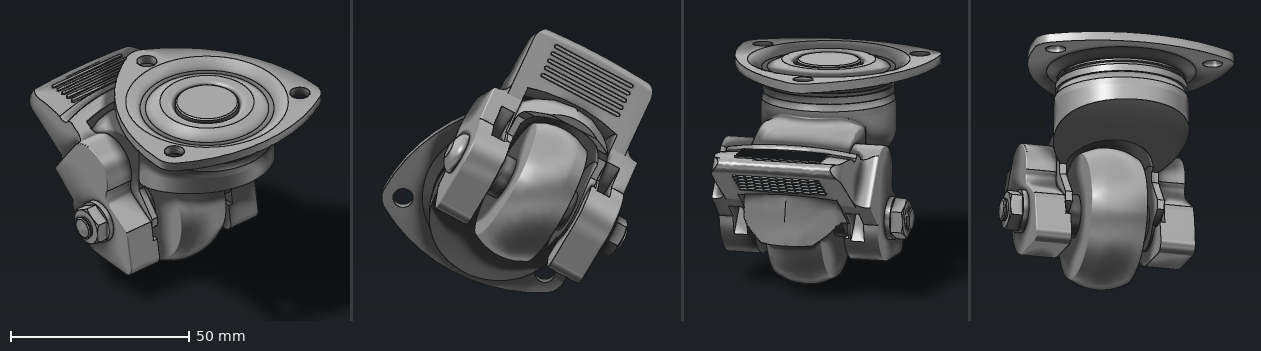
import cadquery as cq
import math


AXLE_X = -19.03
AXLE_Z = -40.0
WHEEL_R = 20.0
WHEEL_SIDE_R = 17.7
WHEEL_HALF_W = 8.1
TYRE_EDGE_ROUND = 0.3
HUB_R = 6.1
HUB_HALF_W = 12.1
HUB_ROUND = 1.0

PLATE_T = 2.64
HOLE_CIRCLE_R = 26.4
HOLE_R = 2.8
CORNER_R = 6.0
SIDE_MID_R = 25.6
SIDE_INSET_R = SIDE_MID_R - CORNER_R
SIDE_CENTRE_R = (HOLE_CIRCLE_R**2 - SIDE_INSET_R**2) / (2 * SIDE_INSET_R - HOLE_CIRCLE_R)
SIDE_R = SIDE_MID_R + SIDE_CENTRE_R
DISH_TOP_R = 22.8
DISH_BOTTOM_R = 18.8
DISH_DEPTH = 2.1
HUMP_FOOT_R = 17.3
HUMP_OUTER_R = 13.2
HUMP_INNER_R = 11.8
RIVET_R = 8.9
RIVET_EDGE = 0.4
DISH_UNDER_R = 21.0
DISH_UNDER_FOOT_R = 17.3
DISH_UNDER_Z = -4.6

HEAD_R = 19.05
HEAD_PROFILE = [
    (0, DISH_UNDER_Z),
    (DISH_UNDER_FOOT_R, DISH_UNDER_Z),
    (DISH_UNDER_FOOT_R, -5.0),
    (18.1, -5.0),
    (18.1, -5.6),
    (17.8, -5.9),
    (17.8, -6.8),
    (18.5, -6.8),
    (18.5, -8.85),
    (17.9, -8.85),
    (18.85, -10.9),
    (HEAD_R, -12.9),
    (HEAD_R, AXLE_Z),
    (0, AXLE_Z),
]
HEAD_BACK_Z = -17.4
HEAD_FRONT_Z = -27.0
FENDER_TO_HEAD_ROUND = 0.8
FORK_HALF_W = 14.4
FORK_WALL = 2.0
FENDER_R = 26.8
FENDER_ROOT_R = 6.0
FENDER_SECTIONS = [
    (75, 23.6, 25.2, 12.9),
    (110, 22.3, 24.9, 12.6),
    (145, 19.0, 23.7, 11.6),
    (180, 15.8, 22.5, 10.5),
    (205, 15.8, 22.5, 10.5),
]
CAVITY_R = 24.6
CAVITY_SIDE_R = 16.0
LEG_EDGE_X = -12.6
LEG_EYE_R = 8.0
LEG_HEEL = (-31.0, -39.5)

LEVER_HALF_W = 23.2
LIP_HALF_W = 13.0
LIP_TOP_Z = -44.0
PEDAL_HALF_W = 18.9
CLEARANCE_R = 27.6
CLEARANCE_SIDE_R = 25.6
CLEARANCE_SHIFT = (0.9, 0, 2.1)
SHOULDER_ROUND = 3.4
SHOULDER_OVERLAP = 1.0
LOWER_ARC_R = 12.2
SLOT_INNER_Y = 15.0
SLOT_OUTER_Y = 19.0
SLOT_TOP_Z = -35.5
SLOT_BOTTOM_Z = -44.9
SLOT_BOTTOM_X = -30.4
SLOT_TOP_X = -23.0
LEG_EDGE_ROUND = 0.4
SHOULDER_TOP = (-29.8, -19.9)
SHOULDER_BOTTOM = (-39.2, -32.8)
UNDERSIDE_SLOPE = 0.69
UNDERSIDE = cq.Plane(
    origin=(-53.4, 0, -23.05),
    xDir=(1, 0, -UNDERSIDE_SLOPE),
    normal=(-UNDERSIDE_SLOPE, 0, -1),
)
NOSE_TIP = -6.0
RIB_COUNT = 5
RIB_W = 1.0
RIB_TOP_Z = -16.9
RIB_SINK = 1.5
TOP_RIBS_X = -52.7
TOP_RIB_PITCH = 2.14
UNDER_RIBS_START = -1.4
UNDER_RIB_PITCH = 2.3
UNDER_RIB_H = 0.4
RIB_LENGTH = 25.2

BOLT_R = 3.0
BOLT_TIP_R = 3.25
BOLT_TIP_Y = -30.28
FLANGE_R = 6.05
BOLT_HEAD_RIM = 0.4
BOLT_HEAD_TOP_R = 2.7
BOLT_HEAD_TOP_Y = 26.4
NUT_FLANGE_T = 1.6
NUT_FLATS = 10.2
NUT_H = 3.55
NUT_BEVEL_H = 0.4
NUT_BEVEL_W = 0.8


def turn_about_axle(outline):
    """Revolve an outline, drawn as (radius, Y) about the axle, into a solid of revolution."""
    profile = outline.close()
    return profile.revolve(360, (0, 0, 0), (0, 1, 0)).translate((AXLE_X, 0, AXLE_Z))


def crowned_disc(half_w, side_r, crown_r):
    """Wheel-like disc about the axle with a domed rim."""
    outline = (
        cq.Workplane("XY")
        .moveTo(0, -half_w)
        .lineTo(side_r, -half_w)
        .threePointArc((crown_r, 0), (side_r, half_w))
        .lineTo(0, half_w)
    )
    return turn_about_axle(outline)


def axle_cylinder(radius, y_start, y_end):
    return (
        cq.Workplane("XZ", origin=(AXLE_X, y_start, AXLE_Z)).circle(radius).extrude(y_start - y_end)
    )


def slab(outline, y_start, y_end):
    """Extrude a closed XZ outline between two Y positions."""
    return outline.extrude(y_start - y_end).translate((0, y_start, 0))


def both_sides(solid):
    return solid.union(solid.mirror("XZ"))


def make_plate():
    plate = None
    for angle in (0, 120, 240):
        a = math.radians(angle + 180)
        centre = (SIDE_CENTRE_R * math.cos(a), SIDE_CENTRE_R * math.sin(a))
        disc = cq.Workplane("XY").center(*centre).circle(SIDE_R).extrude(-PLATE_T)
        plate = disc if plate is None else plate.intersect(disc)
    plate = plate.edges("|Z").fillet(CORNER_R)
    under = (
        cq.Workplane("XZ")
        .moveTo(0, -PLATE_T)
        .lineTo(DISH_UNDER_R, -PLATE_T)
        .lineTo(DISH_UNDER_FOOT_R, DISH_UNDER_Z)
        .lineTo(0, DISH_UNDER_Z)
        .close()
        .revolve(360, (0, 0, 0), (0, 1, 0))
    )
    dish = (
        cq.Workplane("XZ")
        .moveTo(DISH_TOP_R, 0)
        .lineTo(DISH_BOTTOM_R, -DISH_DEPTH)
        .lineTo(HUMP_FOOT_R, -DISH_DEPTH)
        .lineTo(HUMP_OUTER_R, 0)
        .close()
        .revolve(360, (0, 0, 0), (0, 1, 0))
    )
    moat_r = HUMP_INNER_R - RIVET_R
    diagonal = moat_r * math.sqrt(0.5)
    moat = (
        cq.Workplane("XZ")
        .moveTo(HUMP_INNER_R, 0)
        .threePointArc((HUMP_INNER_R - diagonal, diagonal - moat_r), (RIVET_R, -moat_r))
        .lineTo(RIVET_R, -RIVET_EDGE)
        .lineTo(RIVET_R - RIVET_EDGE, 0)
        .close()
        .revolve(360, (0, 0, 0), (0, 1, 0))
    )
    holes = (
        cq.Workplane("XY").polarArray(HOLE_CIRCLE_R, 60, 360, 3).circle(HOLE_R).extrude(-PLATE_T)
    )
    return plate.union(under).cut(dish).cut(moat).cut(holes)


def make_head():
    """Swivel head: stepped turned body whose underside sweeps down towards the legs."""
    head = cq.Workplane("XZ").polyline(HEAD_PROFILE).close().revolve(360, (0, 0, 0), (0, 1, 0))
    underside = (
        cq.Workplane("XZ")
        .moveTo(HEAD_R, HEAD_BACK_Z)
        .threePointArc((0.5, -21.5), (LEG_EDGE_X, HEAD_FRONT_Z))
        .lineTo(-HEAD_R, HEAD_FRONT_Z)
        .lineTo(-HEAD_R, AXLE_Z)
        .lineTo(HEAD_R, AXLE_Z)
        .close()
    )
    return head.cut(slab(underside, -HEAD_R, HEAD_R))


def make_fender():
    wires = []
    for angle, side_r, crown_r, crown_w in FENDER_SECTIONS:
        a = math.radians(angle)
        crown = [(crown_r, crown_w), (FENDER_R, 0)]
        plane = cq.Plane(
            origin=(AXLE_X, 0, AXLE_Z),
            xDir=(math.cos(a), 0, math.sin(a)),
            normal=(math.sin(a), 0, -math.cos(a)),
        )
        section = (
            cq.Workplane(plane)
            .moveTo(FENDER_ROOT_R, 0)
            .lineTo(FENDER_ROOT_R, FORK_HALF_W)
            .lineTo(side_r, FORK_HALF_W)
            .spline(crown, tangents=[(1, 0), (0, -1)], includeCurrent=True)
            .close()
        )
        wires.append(section.wires().val())
    return both_sides(cq.Workplane(cq.Solid.makeLoft(wires)))


def make_fork():
    eye_diagonal = LEG_EYE_R * math.sqrt(0.5)
    leg_outline = (
        cq.Workplane("XZ")
        .moveTo(LEG_EDGE_X, -17)
        .lineTo(LEG_EDGE_X, -30.1)
        .lineTo(-6.7, -37.2)
        .lineTo(-6.7, -40)
        .lineTo(AXLE_X, AXLE_Z - LEG_EYE_R)
        .lineTo(AXLE_X - eye_diagonal, AXLE_Z - eye_diagonal)
        .lineTo(*LEG_HEEL)
        .lineTo(-27, -24)
        .lineTo(-16, -20)
        .close()
    )
    legs = slab(leg_outline, -FORK_HALF_W, FORK_HALF_W)
    eyes = axle_cylinder(LEG_EYE_R, -FORK_HALF_W, FORK_HALF_W)
    below_outline = (
        cq.Workplane("XZ")
        .moveTo(-50, -43.7)
        .lineTo(-43.3, -43.7)
        .lineTo(-38.9, -38.7)
        .lineTo(-36.7, -38.1)
        .lineTo(*LEG_HEEL)
        .lineTo(AXLE_X - eye_diagonal, AXLE_Z - eye_diagonal)
        .lineTo(AXLE_X, -60)
        .lineTo(-50, -60)
        .close()
    )
    below = slab(below_outline, -FORK_HALF_W, FORK_HALF_W)
    fork = make_fender().cut(below).union(make_head()).union(legs).union(eyes)
    seam_zone = cq.selectors.BoxSelector((-20, -FORK_HALF_W - 0.2, -18), (-12, FORK_HALF_W + 0.2, -12))
    seams = [edge for edge in fork.edges(seam_zone).vals() if edge.Length() > FORK_HALF_W]
    fork = fork.newObject(seams).fillet(FENDER_TO_HEAD_ROUND)
    cavity = crowned_disc(FORK_HALF_W - FORK_WALL, CAVITY_SIDE_R, CAVITY_R)
    return fork.cut(cavity).cut(axle_cylinder(BOLT_R, -FORK_HALF_W, FORK_HALF_W))


def make_wheel():
    tyre = crowned_disc(WHEEL_HALF_W, WHEEL_SIDE_R, WHEEL_R)
    tyre = tyre.faces("<Y or >Y").edges().fillet(TYRE_EDGE_ROUND)
    hub = axle_cylinder(HUB_R, -HUB_HALF_W, HUB_HALF_W).faces("<Y or >Y").edges().fillet(HUB_ROUND)
    return tyre.union(hub).cut(axle_cylinder(BOLT_R, -HUB_HALF_W, HUB_HALF_W))


def make_leg_outline():
    diagonal = LOWER_ARC_R * math.sqrt(0.5)
    return (
        cq.Workplane("XZ")
        .moveTo(*SHOULDER_TOP)
        .threePointArc((-24.5, -18.2), (-15.7, -27.0))
        .lineTo(-15.7, -28.5)
        .threePointArc((-16.3, -31.0), (-15.0, -33.2))
        .lineTo(-7.3, -38.2)
        .lineTo(-6.8, -39.7)
        .lineTo(-5.3, -49.0)
        .threePointArc((-5.9, -51.7), (-8.5, -52.6))
        .lineTo(AXLE_X, AXLE_Z - LOWER_ARC_R)
        .threePointArc((AXLE_X - diagonal, AXLE_Z - diagonal), (AXLE_X - LOWER_ARC_R, -39.5))
        .lineTo(*SHOULDER_BOTTOM)
        .close()
    )


def pedal_section(y, nose_inset, pad, groove, crest):
    """Closed side profile of the pedal; pad, groove and crest are arc middle and end points."""
    return (
        cq.Workplane("XZ", origin=(0, y, 0))
        .moveTo(-56.3 + nose_inset, -21.05 - UNDERSIDE_SLOPE * nose_inset)
        .threePointArc((-57.41 + nose_inset, -19.2), (-54.5 + nose_inset, -17.4))
        .threePointArc(*pad)
        .threePointArc(*groove)
        .threePointArc(*crest)
        .lineTo(-34.0, -19.9)
        .threePointArc((-31.4, -20.6), SHOULDER_TOP)
        .lineTo(-31.2, -39.2)
        .lineTo(*SHOULDER_BOTTOM)
        .close()
    )


def side_section(y):
    return pedal_section(
        y,
        nose_inset=0.8,
        pad=((-47.5, -17.5), (-41.9, -18.6)),
        groove=((-39.9, -19.4), (-38.7, -18.9)),
        crest=((-37.2, -18.1), (-35.8, -18.8)),
    )


def middle_section():
    return pedal_section(
        0,
        nose_inset=0,
        pad=((-49.0, -17.1), (-43.7, -17.25)),
        groove=((-42.3, -17.8), (-41.2, -17.1)),
        crest=((-39.9, -16.1), (-38.3, -16.9)),
    )


def make_pedal():
    sections = (side_section(-PEDAL_HALF_W), middle_section(), side_section(PEDAL_HALF_W))
    pedal = cq.Workplane(cq.Solid.makeLoft([section.wires().val() for section in sections]))
    plan = (
        cq.Workplane(UNDERSIDE)
        .moveTo(30, -PEDAL_HALF_W)
        .lineTo(-0.4, -PEDAL_HALF_W)
        .threePointArc((-3.6, -18.0), (-5.5, -15.9))
        .threePointArc((NOSE_TIP, 0), (-5.5, 15.9))
        .threePointArc((-3.6, 18.0), (-0.4, PEDAL_HALF_W))
        .lineTo(30, PEDAL_HALF_W)
        .close()
        .extrude(25, both=True)
    )
    return pedal.intersect(plan)


def make_shoulder():
    """Hollow round that blends the side of the pedal into the step out to the leg."""
    run_x = SHOULDER_TOP[0] - SHOULDER_BOTTOM[0]
    run_z = SHOULDER_TOP[1] - SHOULDER_BOTTOM[1]
    plane = cq.Plane(
        origin=(SHOULDER_BOTTOM[0], -PEDAL_HALF_W, SHOULDER_BOTTOM[1]),
        xDir=(-run_z, 0, run_x),
        normal=(run_x, 0, run_z),
    )
    inset = SHOULDER_ROUND * (1 - math.sqrt(0.5))
    blend = (
        cq.Workplane(plane)
        .moveTo(-SHOULDER_OVERLAP, -SHOULDER_OVERLAP)
        .lineTo(SHOULDER_ROUND, -SHOULDER_OVERLAP)
        .lineTo(SHOULDER_ROUND, 0)
        .threePointArc((inset, inset), (0, SHOULDER_ROUND))
        .lineTo(-SHOULDER_OVERLAP, SHOULDER_ROUND)
        .close()
        .extrude(math.hypot(run_x, run_z))
    )
    return blend.mirror("XZ").intersect(slab(side_section(0), FORK_HALF_W, LEVER_HALF_W))


def make_ribs():
    ribs = cq.Workplane("XY", origin=(0, 0, RIB_TOP_Z))
    centres = [(TOP_RIBS_X + i * TOP_RIB_PITCH, 0) for i in range(RIB_COUNT)]
    top = ribs.pushPoints(centres).slot2D(RIB_LENGTH, RIB_W, 90).extrude(-RIB_SINK)
    centres = [(UNDER_RIBS_START + i * UNDER_RIB_PITCH, 0) for i in range(RIB_COUNT)]
    under = (
        cq.Workplane(UNDERSIDE)
        .workplane(offset=-RIB_SINK)
        .pushPoints(centres)
        .slot2D(RIB_LENGTH, RIB_W, 90)
        .extrude(RIB_SINK + UNDER_RIB_H)
    )
    return top.union(under)


def make_lever(fork):
    leg = slab(make_leg_outline(), FORK_HALF_W, LEVER_HALF_W).faces(">Y").edges().fillet(LEG_EDGE_ROUND)
    leg = leg.union(make_shoulder())
    lip = slab(make_leg_outline(), LIP_HALF_W, FORK_HALF_W)
    below_lip_top = cq.Workplane("XY", origin=(AXLE_X, 0, LIP_TOP_Z)).rect(60, 60).extrude(-20)
    lip = lip.intersect(below_lip_top)
    slot_outline = (
        cq.Workplane("XZ")
        .moveTo(-60, SLOT_BOTTOM_Z)
        .lineTo(SLOT_BOTTOM_X, SLOT_BOTTOM_Z)
        .lineTo(SLOT_TOP_X, SLOT_TOP_Z)
        .lineTo(-60, SLOT_TOP_Z)
        .close()
    )
    slot = slab(slot_outline, SLOT_INNER_Y, SLOT_OUTER_Y)
    sides = both_sides(leg.union(lip).cut(slot))
    clearance = crowned_disc(FORK_HALF_W, CLEARANCE_SIDE_R, CLEARANCE_R).translate(CLEARANCE_SHIFT)
    pedal = make_pedal().cut(clearance).cut(both_sides(slot))
    lever = pedal.union(make_ribs()).union(sides)
    return lever.cut(fork).cut(axle_cylinder(BOLT_R, -LEVER_HALF_W, LEVER_HALF_W))


def make_bolt():
    outline = (
        cq.Workplane("XY")
        .moveTo(0, BOLT_TIP_Y)
        .lineTo(2.75, -29.65)
        .lineTo(BOLT_TIP_R, -29.35)
        .lineTo(BOLT_R, -28.85)
        .lineTo(BOLT_R, LEVER_HALF_W)
        .lineTo(FLANGE_R, LEVER_HALF_W)
        .lineTo(FLANGE_R, LEVER_HALF_W + BOLT_HEAD_RIM)
        .threePointArc((5.7, 24.5), (4.9, 25.2))
        .lineTo(BOLT_HEAD_TOP_R, BOLT_HEAD_TOP_Y)
        .lineTo(0, BOLT_HEAD_TOP_Y)
    )
    return turn_about_axle(outline)


def make_nut():
    flange = axle_cylinder(FLANGE_R, -LEVER_HALF_W - NUT_FLANGE_T, -LEVER_HALF_W)
    corner_d = NUT_FLATS / math.cos(math.radians(30))
    nut_end_y = -LEVER_HALF_W - NUT_FLANGE_T - NUT_H
    hexagon = (
        cq.Workplane("XZ", origin=(AXLE_X, -LEVER_HALF_W, AXLE_Z))
        .transformed(rotate=(0, 0, 90))
        .polygon(6, corner_d)
        .extrude(NUT_FLANGE_T + NUT_H)
    )
    bevel = axle_cylinder(corner_d / 2, nut_end_y, -LEVER_HALF_W)
    bevel = bevel.faces("<Y").chamfer(NUT_BEVEL_H, NUT_BEVEL_W)
    return flange.union(hexagon.intersect(bevel)).cut(axle_cylinder(BOLT_R, nut_end_y, -LEVER_HALF_W))


plate = make_plate()
fork = make_fork()
wheel = make_wheel()
lever = make_lever(fork)
bolt = make_bolt()
nut = make_nut()
result = cq.Compound.makeCompound([body.val() for body in (plate, fork, wheel, lever, bolt, nut)])